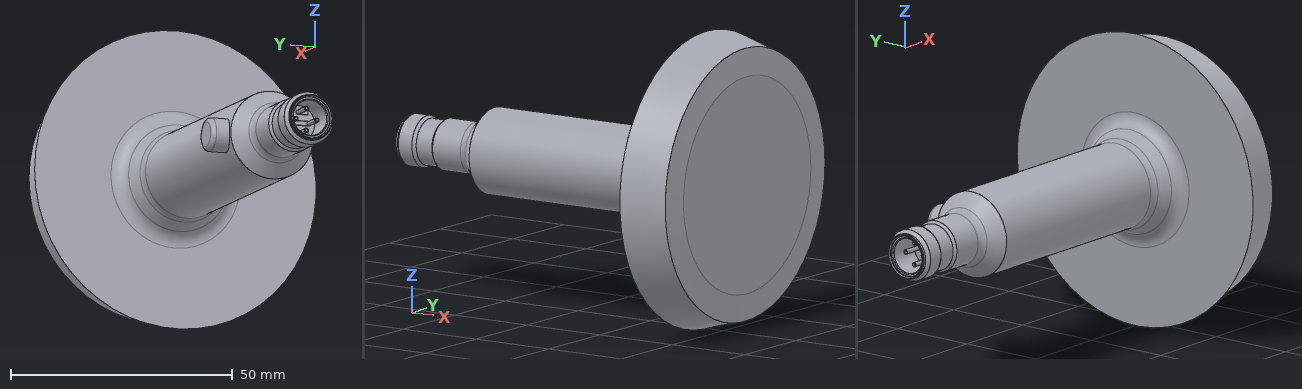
import cadquery as cq
import math

total_length = 93.2

nose_diameter = 10.4
plug_diameter = 12.0
groove_diameter = 10.8
collar_start = 1.4
collar_end = 5.1
groove_start = 5.9
shoulder_start = 10.8
mouth_diameter = 9.4
mouth_bevel = 0.3
mouth_depth = 0.6
socket_diameter = 8.1
socket_bevel = 0.23
socket_depth = 8.0

pin_count = 4
pin_diameter = 1.0
pin_circle_radius = 2.5
pin_tip_depth = 2.8
pin_tip_chamfer = 0.2

rib_width = pin_diameter
rib_height = 0.5
side_rib_length = 2.2
key_reach = 3.6

body_diameter = 20.0
body_start = 23.7
body_end = 76.3
rear_taper_angle = 45.0
rear_fillet = 3.0
flare_angle = 30.0
flare_fillet = 4.0

disc_diameter = 68.4
disc_start = 82.1
disc_rim_angle = 15.0
face_rise = 0.6
face_diameter = 50.0

button_diameter = 7.6
button_x = 28.3
button_top = 14.2
button_fillet = 1.0


def taper_radius(start, end, radius_at_start, angle):
    """Radius at `end` of a cone that opens at `angle` to the axis from `start`."""
    return radius_at_start + (end - start) * math.tan(math.radians(angle))


def blend_arc(outline, corner, radius, angle_in, angle_out):
    """Line up to a corner of the outline, then an arc that rounds the corner.

    Both angles are the directions of travel in degrees from the X axis.
    """
    turn = math.radians(angle_out - angle_in)
    setback = radius * math.tan(turn / 2)
    middle_gap = radius / math.cos(turn / 2) - radius
    into = math.radians(angle_in)
    out = math.radians(angle_out)
    inward = (into + out + math.pi) / 2
    start = (corner[0] - setback * math.cos(into), corner[1] - setback * math.sin(into))
    middle = (corner[0] + middle_gap * math.cos(inward), corner[1] + middle_gap * math.sin(inward))
    end = (corner[0] + setback * math.cos(out), corner[1] + setback * math.sin(out))
    return outline.lineTo(*start).threePointArc(middle, end)


def turned_body():
    nose_radius = nose_diameter / 2
    plug_radius = plug_diameter / 2
    groove_radius = groove_diameter / 2
    body_radius = body_diameter / 2
    collar_bevel = plug_radius - nose_radius
    shoulder_bevel = plug_radius - groove_radius
    rear_corner_x = body_start - (body_radius - plug_radius) / math.tan(math.radians(rear_taper_angle))
    flare_radius = taper_radius(body_end, disc_start, body_radius, flare_angle)
    rim_end = total_length - face_rise
    rim_end_radius = taper_radius(disc_start, rim_end, disc_diameter / 2, -disc_rim_angle)

    outline = (
        cq.Workplane("XY")
        .moveTo(0, 0)
        .lineTo(0, nose_radius)
        .lineTo(collar_start - collar_bevel, nose_radius)
        .lineTo(collar_start, plug_radius)
        .lineTo(collar_end, plug_radius)
        .lineTo(groove_start, groove_radius)
        .lineTo(shoulder_start - shoulder_bevel, groove_radius)
        .lineTo(shoulder_start, plug_radius)
    )
    outline = blend_arc(outline, (rear_corner_x, plug_radius), rear_fillet, 0, rear_taper_angle)
    outline = outline.lineTo(body_start, body_radius)
    outline = blend_arc(outline, (body_end, body_radius), flare_fillet, 0, flare_angle)
    outline = blend_arc(outline, (disc_start, flare_radius), flare_fillet, flare_angle, 90)
    outline = (
        outline.lineTo(disc_start, disc_diameter / 2)
        .lineTo(rim_end, rim_end_radius)
        .lineTo(total_length, face_diameter / 2)
        .lineTo(total_length, 0)
        .close()
    )
    return outline.revolve(360, (0, 0, 0), (1, 0, 0))


def socket():
    """Blind bore with a shallow counterbore at its mouth, both bevelled at 45 degrees."""
    mouth_radius = mouth_diameter / 2
    bore_radius = socket_diameter / 2
    return (
        cq.Workplane("XY")
        .moveTo(0, 0)
        .lineTo(0, mouth_radius + mouth_bevel)
        .lineTo(mouth_bevel, mouth_radius)
        .lineTo(mouth_depth, mouth_radius)
        .lineTo(mouth_depth, bore_radius + socket_bevel)
        .lineTo(mouth_depth + socket_bevel, bore_radius)
        .lineTo(socket_depth, bore_radius)
        .lineTo(socket_depth, 0)
        .close()
        .revolve(360, (0, 0, 0), (1, 0, 0))
    )


def contact_pins():
    """Pins rooted one pin diameter below the socket floor."""
    pin_length = socket_depth - pin_tip_depth + pin_diameter
    return (
        cq.Workplane("YZ", origin=(pin_tip_depth, 0, 0))
        .polarArray(pin_circle_radius, 0, 360, pin_count)
        .circle(pin_diameter / 2)
        .extrude(pin_length)
        .faces("<X")
        .chamfer(pin_tip_chamfer)
    )


def floor_ribs():
    """One rib joins the two pins on the Y axis; a shorter one leaves each of the others toward -Y."""
    floor = cq.Workplane("YZ", origin=(socket_depth - rib_height, 0, 0))
    middle_rib = floor.rect(2 * pin_circle_radius, rib_width).extrude(2 * rib_height)
    side_ribs = (
        floor.pushPoints([(-side_rib_length / 2, side * pin_circle_radius) for side in (-1, 1)])
        .rect(side_rib_length, rib_width)
        .extrude(2 * rib_height)
    )
    return middle_rib.union(side_ribs)


def corner_key():
    """Block on the floor that runs from its inner corner out into the socket wall."""
    inner_corner = pin_circle_radius - rib_width / 2
    key_size = key_reach - inner_corner
    key_middle = (key_reach + inner_corner) / 2
    return (
        cq.Workplane("YZ", origin=(socket_depth - rib_height, 0, 0))
        .center(key_middle, key_middle)
        .rect(key_size, key_size)
        .extrude(2 * rib_height)
    )


def side_button():
    """Button that starts on the body axis, so that it is rooted in the body."""
    return (
        cq.Workplane("XZ", origin=(button_x, 0, 0))
        .circle(button_diameter / 2)
        .extrude(-button_top)
        .faces(">Y")
        .edges()
        .fillet(button_fillet)
    )


result = (
    turned_body()
    .union(side_button())
    .cut(socket())
    .union(contact_pins())
    .union(floor_ribs())
    .union(corner_key())
)